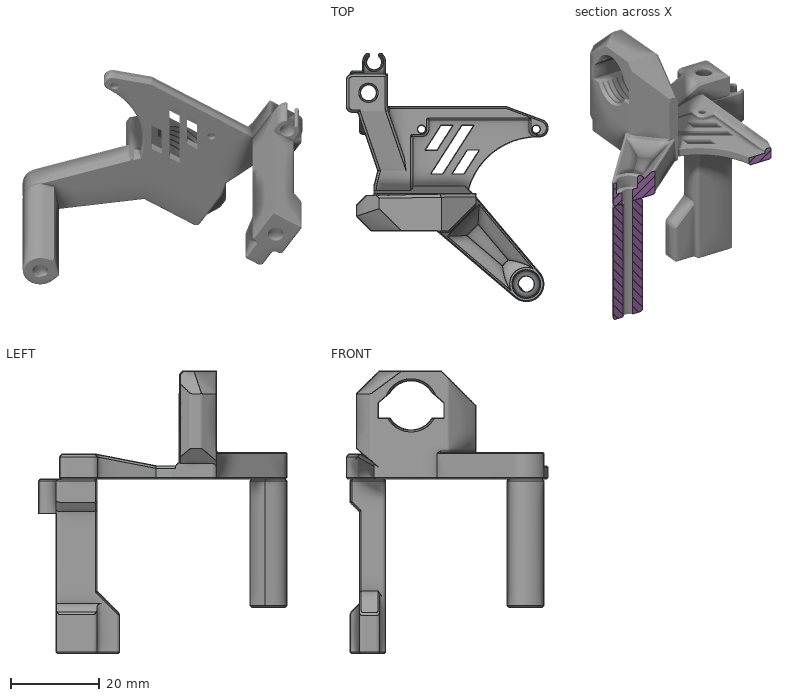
import cadquery as cq
import math


rim_z = 3.0
field_z = 2.0
block_z = 5.6
arm_z = 6.0
tower_z = 24.45
edge_chamfer = 0.4
bevel_angle = 45
reach = 0.1

plate_left, plate_left_bend = 6.2, 10.1
plate_back = 28.15
plate_slope_x = 36.3
plate_corner = 0.95
ear_x, ear_y, ear_radius = 43.7, 23.3, 2.0
ear_slope_angle = math.radians(70)
scallop_x, scallop_y, scallop_radius = 43.25, 5.1, 16.2
scallop_mid_angle = math.radians(127)
scallop_end_angle = math.radians(164.5)
plate_hole_y = 23.05
plate_hole_xs = (17.0, 43.0)
plate_hole_diameter = 1.8

field_left, field_back = 15.05, 25.1
boss_radius = 1.65
field_bevel = 0.5
slot_width, slot_lean = 2.7, 0.64
left_slot_x, long_slot_x, right_slot_x = 21.45, 26.15, 27.4
slot_back, slot_middle, slot_front = 23.9, 18.3, 12.9

block_width, block_corner, block_inner_corner = 9.3, 1.3, 0.65
block_front, block_back = 26.9, 35.5
ramp_top_y, ramp_foot_y = 27.1, 13.6
ramp_left_top, ramp_left_foot = 2.5, 7.1
ramp_right_top, ramp_right_foot = 9.5, 14.15
block_chamfer = 0.6
leg_hole_x, leg_hole_y, leg_hole_diameter = 5.0, 31.3, 3.6
leg_hole_chamfer = 0.4

tower_left, tower_right = 2.25, 29.3
tower_top_left, tower_top_right = 7.4, 21.5
tower_left_shoulder_z = 19.3
tower_back_left, tower_back_right = 8.05, 8.45
tower_back_corner = 2.25
tower_edge_radius = 0.95
tower_back_chamfer = 0.7
overhang_z, overhang_foot_z = 7.0, 3.6
right_bevel_difference = 23.15
left_bevel_sum = 5.55
left_bevel_top_sum = 12.5
gland_x, gland_z = 14.65, 16.7
gland_minor_radius, gland_major_radius = 5.55, 6.0
thread_pitch = 1.3
keyway_half_width = 7.4
keyway_bottom, keyway_top = 13.8, 17.3
keyway_roof_angle = math.radians(41)
gusset_top_z = 3.8
gusset_corner_sum = 37.0

post_x, post_y, post_radius = 40.75, -12.0, 3.95
arm_back_normal = math.radians(40.1)
arm_front_normal = math.radians(229.6)
arm_front_root_x = 20.5
arm_wall = 0.6
pocket_floor_z = 3.0
pocket_end_difference = 24.05
boss_ring_radius = 3.8
bore_diameter, bore_floor_z = 6.0, 3.0
bore_chamfer = 0.25
post_hole_diameter = 3.6

post_bottom = -29.05
post_chamfer = 0.4
post_flat_distance, post_flat_half = 3.8, 2.4
post_flat_angle = 135
post_hole_flat = 1.55
post_hole_flat_angle = 220

leg_bottom = -39.55
leg_left, leg_waist, leg_right = 0.8, 2.95, 8.9
leg_front, leg_back = 27.0, 36.3
leg_head_z, leg_foot_z = -5.25, -30.3
toe_front, toe_right, toe_top_z = 21.9, 7.55, -25.4
leg_round, leg_chamfer, toe_fillet = 0.8, 0.4, 0.4
leg_inside_y = 33.3

clip_x, clip_y, clip_depth = 6.3, 38.2, 7.8
clip_inner_radius, clip_outer_radius = 1.695, 2.6
clip_mouth_half = math.radians(43)


def prism(points, bottom, top):
    """Upright prism over a plan polygon."""
    return cq.Workplane("XY", origin=(0, 0, bottom)).polyline(points).close().extrude(top - bottom)


def prism_along_x(points, left, right):
    """Prism over a Y-Z polygon."""
    return cq.Workplane("YZ", origin=(left, 0, 0)).polyline(points).close().extrude(right - left)


def prism_along_y(points, front, back):
    """Prism over an X-Z polygon."""
    return cq.Workplane("XZ", origin=(0, back, 0)).polyline(points).close().extrude(back - front)


def cylinder(x, y, radius, bottom, top):
    return cq.Workplane("XY", origin=(x, y, bottom)).circle(radius).extrude(top - bottom)


def cone(x, y, bottom_radius, top_radius, bottom, top):
    solid = cq.Solid.makeCone(bottom_radius, top_radius, top - bottom, cq.Vector(x, y, bottom))
    return cq.Workplane(solid)


def on_circle(x, y, radius, angle):
    return (x + radius * math.cos(angle), y + radius * math.sin(angle))


def upright_edges(solid, x, y):
    """Vertical edges of a solid at the plan position (x, y)."""
    box = cq.selectors.BoxSelector((x - reach, y - reach, leg_bottom), (x + reach, y + reach, tower_z))
    return solid.edges("|Z").edges(box)


def base_plate():
    ear_mid = on_circle(ear_x, ear_y, ear_radius, 0)
    ear_slope_end = on_circle(ear_x, ear_y, ear_radius, ear_slope_angle)
    scallop_mid = on_circle(scallop_x, scallop_y, scallop_radius, scallop_mid_angle)
    scallop_end = on_circle(scallop_x, scallop_y, scallop_radius, scallop_end_angle)
    plate = (
        cq.Workplane("XY")
        .moveTo(plate_left, plate_corner)
        .lineTo(plate_left, plate_left_bend)
        .lineTo(ramp_left_foot, ramp_foot_y)
        .lineTo(block_width, plate_back)
        .lineTo(plate_slope_x, plate_back)
        .lineTo(*ear_slope_end)
        .threePointArc(ear_mid, (ear_x, ear_y - ear_radius))
        .lineTo(scallop_x, scallop_y + scallop_radius)
        .threePointArc(scallop_mid, scallop_end)
        .lineTo(tower_right, gusset_corner_sum - tower_right)
        .lineTo(tower_right, tower_right - right_bevel_difference)
        .lineTo(right_bevel_difference, tower_edge_radius)
        .close()
        .extrude(rim_z)
    )
    ear_tip = ear_x + ear_radius
    back_edges = cq.selectors.BoxSelector(
        (block_width, ear_y, field_z), (ear_tip + reach, plate_back + reach, rim_z + reach)
    )
    plate = plate.faces(">Z").edges(back_edges).chamfer(edge_chamfer)
    left_edges = cq.selectors.BoxSelector((0, 0, field_z), (block_width, plate_back, rim_z + reach))
    return plate.faces(">Z").edges(left_edges).chamfer(block_chamfer)


def field_outline(z):
    """Outline of the recess floor, stepped around the bosses of the two plate holes."""
    left_hole, right_hole = plate_hole_xs
    step_y = plate_hole_y - boss_radius
    diagonal = math.pi / 4
    return (
        cq.Workplane("XY", origin=(0, 0, z))
        .moveTo(field_left, 0)
        .lineTo(field_left, step_y)
        .lineTo(left_hole, step_y)
        .threePointArc(
            on_circle(left_hole, plate_hole_y, boss_radius, -diagonal),
            (left_hole + boss_radius, plate_hole_y),
        )
        .lineTo(left_hole + boss_radius, field_back)
        .lineTo(right_hole - boss_radius, field_back)
        .lineTo(right_hole - boss_radius, plate_hole_y)
        .threePointArc(on_circle(right_hole, plate_hole_y, boss_radius, 5 * diagonal), (right_hole, step_y))
        .lineTo(right_hole, 0)
        .close()
    )


def field_recess():
    straight = field_outline(field_z).extrude(rim_z - field_z)
    bevel = field_outline(rim_z - field_bevel).extrude(field_bevel, taper=-bevel_angle)
    return straight.union(bevel)


def plate_slots():
    """Three leaning slots: a short one, a long one and a short one."""
    slots = cq.Workplane("XY")
    for back_left_x, back, front in (
        (left_slot_x, slot_back, slot_middle),
        (long_slot_x, slot_back, slot_front),
        (right_slot_x, slot_middle, slot_front),
    ):
        front_left_x = back_left_x - slot_lean * (back - front)
        outline = [
            (back_left_x, back), (back_left_x + slot_width, back),
            (front_left_x + slot_width, front), (front_left_x, front),
        ]
        slots = slots.add(prism(outline, 0, rim_z))
    return slots.combine()


def leg_block():
    """Block over the leg, rounded on its left and bevelled around its top."""
    outline = [(0, block_back), (0, block_front), (block_width, block_front), (block_width, block_back)]
    block = prism(outline, 0, block_z)
    return block.edges("|Z and <X").fillet(block_corner).faces(">Z").chamfer(block_chamfer)


def ramp():
    """Bevelled ramp from the base plate up to the block, slanting to the left as it rises."""
    inside_y = ramp_top_y + 2 * block_chamfer
    plan = prism(
        [
            (ramp_left_top, inside_y), (ramp_left_top, ramp_top_y), (ramp_left_foot, ramp_foot_y),
            (ramp_right_foot, ramp_foot_y), (ramp_right_top, ramp_top_y), (block_width, inside_y),
        ],
        0, block_z,
    )
    above_ramp = prism_along_x(
        [(ramp_foot_y, rim_z), (ramp_top_y, block_z), (ramp_foot_y, block_z)], 0, ramp_right_foot
    )
    solid = plan.cut(above_ramp)
    above_plate = cq.selectors.BoxSelector(
        (0, 0, rim_z + reach), (ramp_right_foot, inside_y - reach, block_z + reach)
    )
    return solid.edges(above_plate).edges("not(|X or |Z)").chamfer(block_chamfer)


def tower_body():
    plan = prism(
        [
            (left_bevel_sum, 0), (tower_left, left_bevel_sum - tower_left),
            (tower_left, tower_back_left - tower_back_corner),
            (tower_left + tower_back_corner, tower_back_left), (tower_right, tower_back_right),
            (tower_right, tower_right - right_bevel_difference), (right_bevel_difference, 0),
        ],
        0, tower_z,
    )
    for x, y in (
        (left_bevel_sum, 0), (tower_left, left_bevel_sum - tower_left),
        (tower_left, tower_back_left - tower_back_corner), (right_bevel_difference, 0),
    ):
        plan = upright_edges(plan, x, y).fillet(tower_edge_radius)
    right_shoulder_z = tower_z - (tower_right - tower_top_right)
    elevation = prism_along_y(
        [
            (plate_left, 0), (plate_left, overhang_foot_z), (tower_left, overhang_z),
            (tower_left, tower_left_shoulder_z), (tower_top_left, tower_z), (tower_top_right, tower_z),
            (tower_right, right_shoulder_z), (tower_right, 0),
        ],
        0, tower_back_right,
    )
    tower = plan.intersect(elevation)
    tower = upright_edges(tower, plate_left, 0).fillet(plate_corner)
    back_top = cq.selectors.BoxSelector(
        (tower_top_left, tower_back_left - reach, right_shoulder_z + reach),
        (tower_right, tower_back_right, tower_z + reach),
    )
    return tower.edges(back_top).chamfer(tower_back_chamfer)


def tower_corner_cut():
    """Tapering cutter that leans the front left bevel back towards the top."""

    def triangle(corner_sum):
        return [(0, 0), (corner_sum, 0), (0, corner_sum)]

    return (
        cq.Workplane("XY", origin=(0, 0, tower_left_shoulder_z))
        .polyline(triangle(left_bevel_sum))
        .close()
        .workplane(offset=tower_z - tower_left_shoulder_z)
        .polyline(triangle(left_bevel_top_sum))
        .close()
        .loft()
    )


def gland_hole():
    """Round hole with ring grooves for the thread, and a keyway through both sides."""
    axis = cq.Workplane("XZ", origin=(gland_x, tower_back_right, gland_z))
    hole = axis.circle(gland_minor_radius).extrude(tower_back_right)
    half_pitch = thread_pitch / 2
    grooves = math.ceil(tower_back_right / thread_pitch)
    for index in range(grooves):
        crest_y = index * thread_pitch - half_pitch
        groove = (
            cq.Workplane("XY", origin=(gland_x, 0, gland_z))
            .polyline([
                (0, crest_y), (gland_minor_radius, crest_y), (gland_major_radius, crest_y + half_pitch),
                (gland_minor_radius, crest_y + thread_pitch), (0, crest_y + thread_pitch),
            ])
            .close()
            .revolve(360, (0, 0, 0), (0, 1, 0))
        )
        hole = hole.union(groove)
    roof_half = gland_minor_radius * math.sin(keyway_roof_angle)
    roof_z = keyway_top + (keyway_half_width - roof_half) * math.tan(keyway_roof_angle)
    keyway = prism_along_y(
        [
            (gland_x - keyway_half_width, keyway_bottom), (gland_x - keyway_half_width, keyway_top),
            (gland_x - roof_half, roof_z), (gland_x + roof_half, roof_z),
            (gland_x + keyway_half_width, keyway_top), (gland_x + keyway_half_width, keyway_bottom),
        ],
        0, tower_back_right,
    )
    return hole.union(keyway)


def tower_gusset():
    """Sloped foot along the back of the tower."""
    inside_y = tower_back_left - tower_back_chamfer
    rim_y = tower_back_right + gusset_top_z - rim_z
    foot_y = tower_back_right + gusset_top_z
    slope = prism_along_x(
        [(0, 0), (0, gusset_top_z), (tower_back_right, gusset_top_z), (foot_y, 0)], plate_left, tower_right
    )
    plan = prism(
        [
            (plate_left, inside_y), (plate_left, rim_y), (field_left - field_bevel, rim_y),
            (field_left - field_bevel, foot_y), (gusset_corner_sum - foot_y, foot_y),
            (tower_right, gusset_corner_sum - tower_right), (tower_right, inside_y),
        ],
        0, gusset_top_z,
    )
    return slope.intersect(plan)


def arm_side_point(normal, offset, x_minus_y):
    """Where the line `offset` out from the post axis crosses the line of constant x - y."""
    nx, ny = math.cos(normal), math.sin(normal)
    distance = nx * post_x + ny * post_y + offset
    y = (distance - nx * x_minus_y) / (nx + ny)
    return (y + x_minus_y, y)


def arm_body():
    back_tangent = on_circle(post_x, post_y, post_radius, arm_back_normal)
    front_tangent = on_circle(post_x, post_y, post_radius, arm_front_normal)
    back_root = arm_side_point(arm_back_normal, post_radius, tower_right - tower_back_left)
    front_root = arm_side_point(arm_front_normal, post_radius, arm_front_root_x)
    arm = (
        cq.Workplane("XY")
        .moveTo(*back_root)
        .lineTo(*back_tangent)
        .threePointArc(on_circle(post_x, post_y, post_radius, -math.pi / 4), front_tangent)
        .lineTo(*front_root)
        .close()
        .extrude(arm_z)
    )
    return arm.faces(">Z").chamfer(edge_chamfer / 2)


def arm_pocket():
    """Pocket with 45 degree walls, ending at a cone around the post's bore."""
    wall_offset = post_radius - arm_wall
    near_post = post_x - post_y
    depth = arm_z - pocket_floor_z
    outline = [
        arm_side_point(arm_back_normal, wall_offset, pocket_end_difference),
        arm_side_point(arm_back_normal, wall_offset, near_post),
        arm_side_point(arm_front_normal, wall_offset, near_post),
        arm_side_point(arm_front_normal, wall_offset, pocket_end_difference),
    ]
    pocket = (
        cq.Workplane("XY", origin=(0, 0, arm_z)).polyline(outline).close().extrude(-depth, taper=bevel_angle)
    )
    surround = cone(post_x, post_y, boss_ring_radius + depth, boss_ring_radius, pocket_floor_z, arm_z)
    return pocket.cut(surround)


def countersink(x, y, diameter, chamfer, z):
    return cone(x, y, diameter / 2, diameter / 2 + chamfer, z - chamfer, z)


def soften_block_corner(bracket):
    """Round the inner corner where the ramp leaves the front of the block."""
    return upright_edges(bracket, ramp_left_top, block_front).fillet(block_inner_corner)


def bevel_arm_root(bracket):
    """Bevel the inner corner where the top of the arm meets the tower."""
    level = reach / 2
    root = cq.selectors.BoxSelector(
        (arm_front_root_x, -reach, arm_z - level),
        (tower_right - reach, tower_right - right_bevel_difference, arm_z + level),
    )
    return bracket.edges(root).chamfer(edge_chamfer)


def make_bracket():
    bracket = base_plate().cut(field_recess()).union(leg_block()).union(ramp()).union(arm_body())
    tower = tower_body().cut(tower_corner_cut())
    bracket = soften_block_corner(bracket)
    bracket = bevel_arm_root(bracket.union(tower)).union(tower_gusset())
    bracket = bracket.faces("<Z").chamfer(edge_chamfer)
    bracket = bracket.cut(gland_hole()).cut(arm_pocket()).cut(plate_slots())
    for x in plate_hole_xs:
        bracket = bracket.cut(cylinder(x, plate_hole_y, plate_hole_diameter / 2, 0, rim_z))
    bracket = bracket.cut(cylinder(leg_hole_x, leg_hole_y, leg_hole_diameter / 2, 0, block_z))
    bracket = bracket.cut(countersink(leg_hole_x, leg_hole_y, leg_hole_diameter, leg_hole_chamfer, block_z))
    bracket = bracket.cut(cylinder(post_x, post_y, post_hole_diameter / 2, 0, arm_z))
    bracket = bracket.cut(cylinder(post_x, post_y, bore_diameter / 2, bore_floor_z, arm_z))
    return bracket.cut(countersink(post_x, post_y, bore_diameter, bore_chamfer, arm_z))


def make_post():
    """Round post widened to a flat that faces back and left, with a flat-sided hole."""
    flat_reach = math.hypot(post_flat_distance, post_flat_half)
    half_spread = math.atan2(post_flat_half, post_flat_distance)
    to_tangent = math.acos(post_radius / flat_reach)
    flat_normal = math.radians(post_flat_angle)
    corner_a = on_circle(post_x, post_y, flat_reach, flat_normal - half_spread)
    corner_b = on_circle(post_x, post_y, flat_reach, flat_normal + half_spread)
    tangent_a = on_circle(post_x, post_y, post_radius, flat_normal - half_spread - to_tangent)
    tangent_b = on_circle(post_x, post_y, post_radius, flat_normal + half_spread + to_tangent)
    post = (
        cq.Workplane("XY", origin=(0, 0, post_bottom))
        .moveTo(*corner_b)
        .lineTo(*corner_a)
        .lineTo(*tangent_a)
        .threePointArc(on_circle(post_x, post_y, post_radius, flat_normal - math.pi), tangent_b)
        .close()
        .extrude(-post_bottom)
        .faces("<Z or >Z")
        .chamfer(post_chamfer)
    )
    hole = cylinder(post_x, post_y, post_hole_diameter / 2, post_bottom, 0)
    hole_side = (
        cq.Workplane("XY")
        .box(post_hole_diameter, 2 * post_hole_diameter, -post_bottom, centered=(False, True, False))
        .translate((post_hole_flat, 0, post_bottom))
        .rotate((0, 0, 0), (0, 0, 1), post_hole_flat_angle)
        .translate((post_x, post_y, 0))
    )
    return post.cut(hole.cut(hole_side))


def clip():
    """Open ring on a straight neck, with rounded lips."""
    neck = prism(
        [
            (clip_x - clip_outer_radius, leg_inside_y), (clip_x + clip_outer_radius, leg_inside_y),
            (clip_x + clip_outer_radius, clip_y), (clip_x - clip_outer_radius, clip_y),
        ],
        -clip_depth, 0,
    )
    ring = cylinder(clip_x, clip_y, clip_outer_radius, -clip_depth, 0).union(neck)
    ring = ring.cut(cylinder(clip_x, clip_y, clip_inner_radius, -clip_depth, 0))
    beyond = 2 * clip_outer_radius
    mouth_angles = (math.pi / 2 - clip_mouth_half, math.pi / 2 + clip_mouth_half)
    mouth = [(clip_x, clip_y)] + [on_circle(clip_x, clip_y, beyond, angle) for angle in mouth_angles]
    ring = ring.cut(prism(mouth, -clip_depth, 0))
    lip_radius = (clip_outer_radius - clip_inner_radius) / 2
    lip_path = clip_inner_radius + lip_radius
    for angle in mouth_angles:
        lip_x, lip_y = on_circle(clip_x, clip_y, lip_path, angle)
        ring = ring.union(cylinder(lip_x, lip_y, lip_radius, -clip_depth, 0))
    return ring


def leg_column():
    """Upright column whose head is wider to the left."""
    shift = leg_waist - leg_left
    column = prism_along_y(
        [
            (leg_left, 0), (leg_left, leg_head_z), (leg_waist, leg_head_z - shift), (leg_waist, leg_bottom),
            (leg_right, leg_bottom), (leg_right, 0),
        ],
        leg_front, leg_back,
    )
    column = upright_edges(column, leg_right, leg_front).fillet(leg_round)

    def left_edges(y):
        return cq.selectors.BoxSelector(
            (leg_left - reach, y - reach, leg_bottom + reach), (leg_waist + reach, y + reach, -reach)
        )

    column = column.edges(left_edges(leg_back)).fillet(leg_round)
    return column.edges(left_edges(leg_front)).chamfer(leg_chamfer)


def leg_pad():
    """Pad on the left of the foot, with a sloped top, blended into the side of the toe."""
    shift = leg_waist - leg_left
    slope_shift = leg_chamfer * math.cos(math.pi / 4)
    inside_x = leg_waist + leg_round
    blend_y = leg_front - 2 * leg_round
    plan = prism(
        [
            (inside_x, leg_back), (leg_left, leg_back), (leg_left, leg_front), (leg_waist, leg_front),
            (leg_waist, blend_y), (inside_x, blend_y),
        ],
        leg_bottom, leg_foot_z + shift,
    )
    for x, y in ((leg_left, leg_back), (leg_left, leg_front), (leg_waist, leg_front)):
        plan = upright_edges(plan, x, y).fillet(leg_round)
    above = prism_along_y(
        [
            (leg_left, leg_foot_z - leg_chamfer), (leg_left, leg_foot_z + shift),
            (leg_waist, leg_foot_z + shift),
            (leg_left + slope_shift, leg_foot_z + slope_shift),
        ],
        blend_y, leg_back,
    )
    return plan.cut(above)


def leg_toe():
    """Forward toe with a sloped top."""
    run = leg_front - toe_front
    toe = prism_along_x(
        [
            (leg_front, toe_top_z), (toe_front, toe_top_z - run), (toe_front, leg_bottom),
            (leg_inside_y, leg_bottom), (leg_inside_y, toe_top_z),
        ],
        leg_waist, toe_right,
    )
    for x in (leg_waist, toe_right):
        toe = upright_edges(toe, x, toe_front).fillet(leg_round)
    slope_normal = cq.Vector(0, -1, 1).normalized()
    slope = [face for face in toe.faces().vals() if face.normalAt().sub(slope_normal).Length < reach]
    slope_edges = [edge for edge in slope[0].Edges() if edge.Center().y < leg_front - reach]
    return toe.newObject(slope_edges).chamfer(leg_chamfer)


def make_leg():
    leg = leg_column().union(leg_toe())
    leg = upright_edges(leg, toe_right, leg_front).fillet(toe_fillet)
    leg = leg.union(leg_pad())
    leg = leg.union(clip())
    leg = leg.faces("<Z").chamfer(leg_chamfer)
    leg = leg.faces(">Z").chamfer(leg_chamfer)
    return leg.cut(cylinder(leg_hole_x, leg_hole_y, leg_hole_diameter / 2, leg_bottom, 0))


bracket = make_bracket()
post = make_post()
leg = make_leg()

result = cq.Compound.makeCompound([bracket.val(), post.val(), leg.val()])